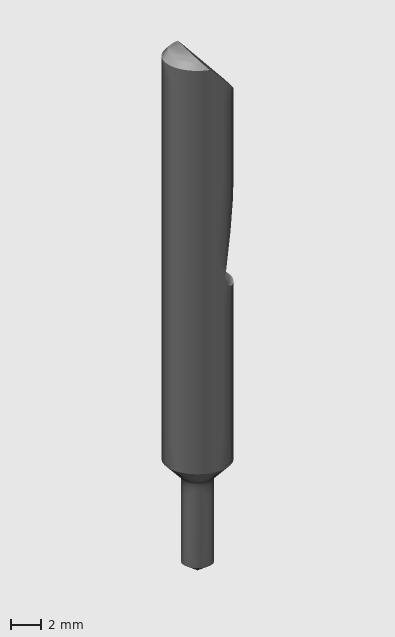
import cadquery as cq
import math

total_length = 38.1
shank_radius = 2.38
top_chamfer = 0.42
pin_radius = 1.1
tip_height = 0.7
shoulder_z = 8.15
bevel_top_y = -0.6
flat_distance = 2.0
flat_direction = 143.0
notch_bottom_z = 21.2
notch_radius = 1.0
notch_center_y = 2.05
notch_ramp_angle = math.radians(10.0)
clearance = 1.9

shoulder_bottom_z = shoulder_z - (shank_radius - pin_radius)
outer_reach = shank_radius + clearance


def cut_across(profile):
    """Extrude a closed Y-Z profile right through the shank along X."""
    return profile.extrude(outer_reach, both=True)


def turned_body():
    """Pin with a conical tip, shoulder and chamfered round shank."""
    return (
        cq.Workplane("XZ")
        .moveTo(0, 0)
        .lineTo(pin_radius, tip_height)
        .lineTo(pin_radius, shoulder_bottom_z)
        .lineTo(shank_radius, shoulder_z)
        .lineTo(shank_radius, total_length - top_chamfer)
        .lineTo(shank_radius - top_chamfer, total_length)
        .lineTo(0, total_length)
        .close()
        .revolve(360, (0, 0, 0), (0, 1, 0))
    )


def side_flat():
    """Block beyond the flat, turned to the flat's direction."""
    block = cq.Workplane("XY").box(
        clearance, 2 * outer_reach, total_length, centered=(False, True, False)
    )
    return block.translate((flat_distance, 0, 0)).rotate((0, 0, 0), (0, 0, 1), flat_direction)


def end_bevel():
    """Wedge removing the +Y half of the top end at 45 degrees."""
    profile = (
        cq.Workplane("YZ")
        .moveTo(bevel_top_y, total_length)
        .lineTo(outer_reach, total_length - (outer_reach - bevel_top_y))
        .lineTo(outer_reach, total_length)
        .close()
    )
    return cut_across(profile)


def ramp_notch():
    """Notch on +Y: square lower end, rounded root and a ramp tangent to it."""
    center_z = notch_bottom_z + notch_radius

    def on_root(angle):
        y = notch_center_y + notch_radius * math.cos(angle)
        z = center_z + notch_radius * math.sin(angle)
        return y, z

    ramp_tangent_angle = math.pi - notch_ramp_angle
    root_start_angle = 1.5 * math.pi
    ramp_start_y, ramp_start_z = on_root(ramp_tangent_angle)
    ramp_end_z = ramp_start_z + (outer_reach - ramp_start_y) / math.tan(notch_ramp_angle)
    profile = (
        cq.Workplane("YZ")
        .moveTo(outer_reach, notch_bottom_z)
        .lineTo(notch_center_y, notch_bottom_z)
        .threePointArc(
            on_root((root_start_angle + ramp_tangent_angle) / 2),
            (ramp_start_y, ramp_start_z),
        )
        .lineTo(outer_reach, ramp_end_z)
        .close()
    )
    return cut_across(profile)


result = turned_body().cut(side_flat()).cut(end_bevel()).cut(ramp_notch())